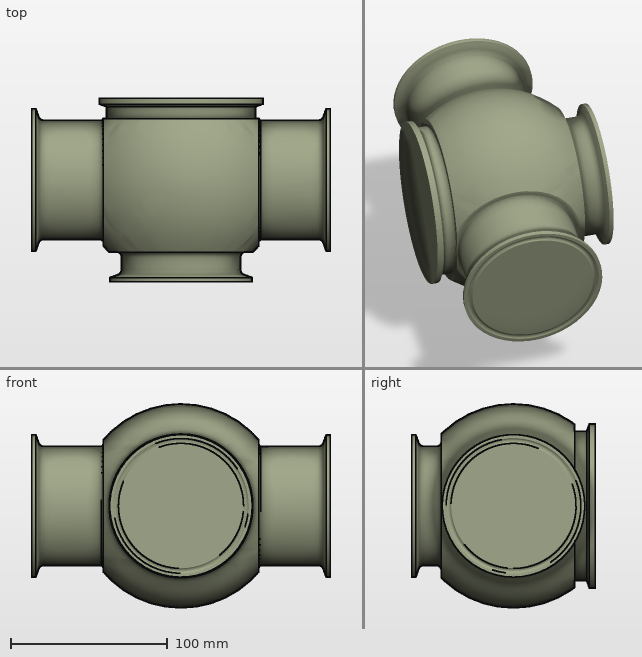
import cadquery as cq
import math

body_diameter = 130.1
side_flat = 49.7
front_flat = 46.1
back_flat = 39.0

side_end = 95.2
front_end = 65.0
back_end = 52.2

tube_diameter = 76.2
flange_diameter = 90.9
rim_thickness = 2.7
throat_radius = 2.9
side_root_radius = 1.1
front_root_radius = 2.9

back_tube_diameter = 95.2
back_flange_diameter = 104.8
back_rim_thickness = 3.8

flange_taper = math.radians(20)

groove_inner_radius = 39.8
groove_outer_radius = 43.0
groove_depth = 1.1
groove_lip_radius = 0.4

embed = 9.5


def make_body():
    """Sphere cut flat where each port joins it."""
    sphere = cq.Workplane("XY").sphere(body_diameter / 2)
    envelope = cq.Workplane("XY").box(
        2 * side_flat, front_flat + back_flat, body_diameter + 2 * embed
    ).translate((0, (back_flat - front_flat) / 2, 0))
    return sphere.intersect(envelope)


def make_port(end, flat, tube_dia, flange_dia, rim, throat=0.0, root=0.0):
    """Solid clamp port along +Z from inside the body to its end face."""
    tube_radius = tube_dia / 2
    flange_radius = flange_dia / 2
    taper_length = (flange_radius - tube_radius) * math.tan(flange_taper)
    profile = cq.Workplane("XZ").moveTo(0, flat - embed)
    if root:
        arc_offset = root * (1 - math.sqrt(0.5))
        profile = (
            profile.lineTo(tube_radius + root, flat - embed)
            .lineTo(tube_radius + root, flat)
            .threePointArc((tube_radius + arc_offset, flat + arc_offset), (tube_radius, flat + root))
        )
    else:
        profile = profile.lineTo(tube_radius, flat - embed)
    throat_height = end - rim - taper_length
    port = (
        profile.lineTo(tube_radius, throat_height)
        .lineTo(flange_radius, end - rim)
        .lineTo(flange_radius, end)
        .lineTo(0, end)
        .close()
        .revolve(360, (0, 0, 0), (0, 1, 0))
    )
    if throat:
        throat_edge = cq.selectors.NearestToPointSelector((0, 0, throat_height))
        port = port.edges("%CIRCLE").edges(throat_edge).fillet(throat)
    return port


def cut_gasket_groove(port, end):
    """Cut the gasket groove into the end face and round both of its lips."""
    groove_middle = (groove_inner_radius + groove_outer_radius) / 2
    groove = (
        cq.Workplane("XZ")
        .moveTo(groove_inner_radius, end)
        .threePointArc((groove_middle, end - groove_depth), (groove_outer_radius, end))
        .close()
        .revolve(360, (0, 0, 0), (0, 1, 0))
    )
    grooved_port = port.cut(groove)
    face_circles = grooved_port.faces(">Z").edges("%CIRCLE").vals()
    lips = sorted(face_circles, key=lambda edge: edge.radius())[:-1]
    return grooved_port.newObject(lips).fillet(groove_lip_radius)


def make_clamp_port(end, flat, root):
    """Grooved clamp port of the size shared by the sides and the front."""
    port = make_port(
        end, flat, tube_diameter, flange_diameter, rim_thickness, throat_radius, root
    )
    return cut_gasket_groove(port, end)


def tilt_to_y(port, angle):
    """Turn an upright port about X: 90 degrees points it to -Y, -90 to +Y."""
    return port.rotate((0, 0, 0), (1, 0, 0), angle)


side_port = make_clamp_port(side_end, side_flat, side_root_radius)
front_port = tilt_to_y(make_clamp_port(front_end, front_flat, front_root_radius), 90)
back_port = tilt_to_y(
    make_port(back_end, back_flat, back_tube_diameter, back_flange_diameter, back_rim_thickness), -90
)

result = make_body().union(front_port).union(back_port)
for angle in (-90, 90):
    result = result.union(side_port.rotate((0, 0, 0), (0, 1, 0), angle))